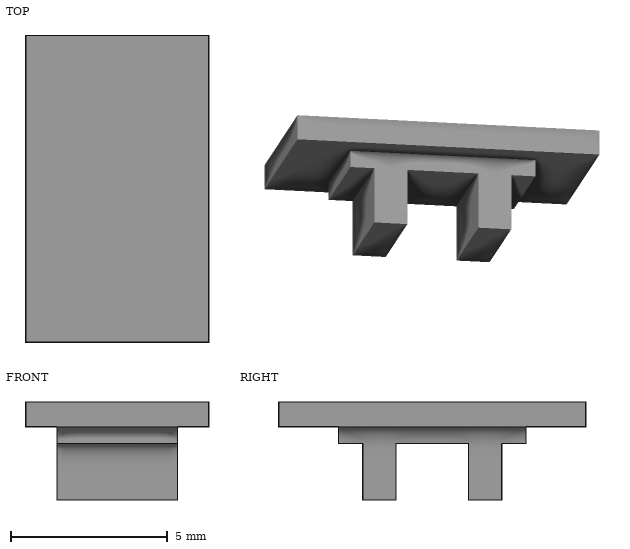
import cadquery as cq

plate_width = 5.85
plate_length = 9.8
plate_thickness = 0.8

side_margin = 1.0
pad_width = plate_width - 2 * side_margin
pad_length = 6.0
pad_thickness = 0.54

leg_height = 1.8
leg_thickness = 1.07
leg_gap = 2.3
leg_offset = (leg_gap + leg_thickness) / 2

pad_bottom = leg_height
plate_bottom = pad_bottom + pad_thickness


def block(width, length, height, bottom, center_y=0):
    """Box centred on X, standing on the level `bottom`."""
    return (
        cq.Workplane("XY")
        .box(width, length, height, centered=(True, True, False))
        .translate((0, center_y, bottom))
    )


plate = block(plate_width, plate_length, plate_thickness, plate_bottom)
pad = block(pad_width, pad_length, pad_thickness, pad_bottom)

result = plate.union(pad)
for side in (-1, 1):
    leg = block(pad_width, leg_thickness, leg_height, 0, side * leg_offset)
    result = result.union(leg)